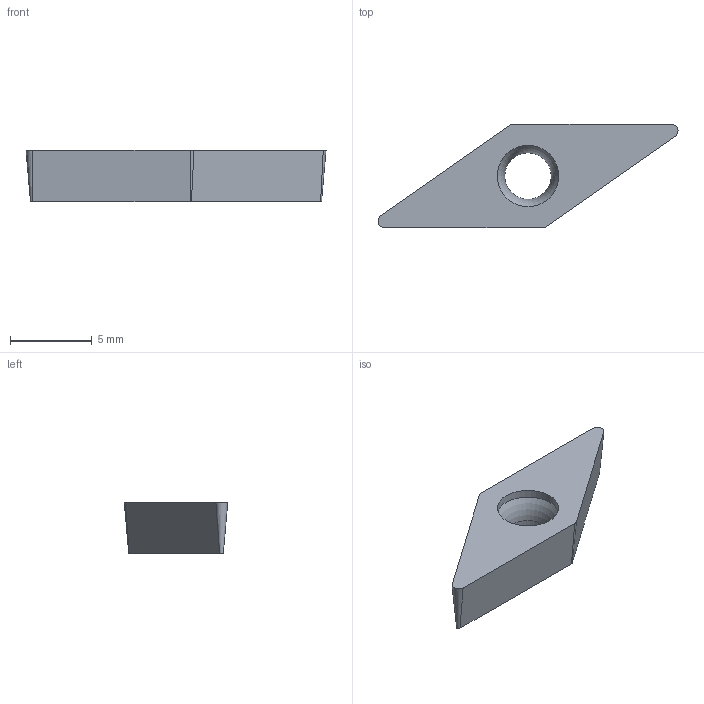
import cadquery as cq
import math

inscribed_diameter = 6.35
thickness = 3.18
acute_angle = math.radians(35)
nose_radius = 0.4
clearance_angle_deg = 5

bore_diameter = 2.85
mouth_diameter = 3.77
mouth_depth = 0.5
seat_radius = 2.5

inscribed_radius = inscribed_diameter / 2


def rhombus_corners():
    """Sharp corners of the top face, with two sides parallel to X."""
    side = inscribed_diameter / math.sin(acute_angle)
    slant_run = inscribed_radius / math.tan(acute_angle)
    acute_x = side / 2 + slant_run
    obtuse_x = side / 2 - slant_run
    return [
        (-acute_x, -inscribed_radius),
        (obtuse_x, -inscribed_radius),
        (acute_x, inscribed_radius),
        (-obtuse_x, inscribed_radius),
    ]


def rounded_rhombus(inset, z):
    """Closed outline with sides moved in by inset; the corner arcs keep their centres."""
    corners = rhombus_corners()
    centre_scale = (inscribed_radius - nose_radius) / inscribed_radius
    radius = nose_radius - inset
    count = len(corners)

    normals = []
    for index in range(count):
        x0, y0 = corners[index]
        x1, y1 = corners[(index + 1) % count]
        normals.append(math.atan2(y1 - y0, x1 - x0) - math.pi / 2)

    def arc_point(corner, angle):
        x = corner[0] * centre_scale + radius * math.cos(angle)
        y = corner[1] * centre_scale + radius * math.sin(angle)
        return cq.Vector(x, y, z)

    edges = []
    for index, corner in enumerate(corners):
        next_corner = corners[(index + 1) % count]
        turn = (normals[index] - normals[index - 1]) % (2 * math.pi)
        start = arc_point(corner, normals[index] - turn)
        middle = arc_point(corner, normals[index] - turn / 2)
        end = arc_point(corner, normals[index])
        edges.append(cq.Edge.makeThreePointArc(start, middle, end))
        edges.append(cq.Edge.makeLine(end, arc_point(next_corner, normals[index])))
    return cq.Wire.assembleEdges(edges)


def insert_blank():
    """Body with all sides leaning in by the clearance angle toward the bottom."""
    bottom_inset = thickness * math.tan(math.radians(clearance_angle_deg))
    bottom = rounded_rhombus(bottom_inset, 0)
    top = rounded_rhombus(0, thickness)
    return cq.Workplane(cq.Solid.makeLoft([bottom, top], True))


def screw_hole():
    """Revolved cutter whose convex seat arc runs tangent into the bore."""
    bore_radius = bore_diameter / 2
    mouth_radius = mouth_diameter / 2
    seat_angle = math.acos(1 - (mouth_radius - bore_radius) / seat_radius)
    seat_top = thickness - mouth_depth
    seat_bottom = seat_top - seat_radius * math.sin(seat_angle)
    seat_middle = (
        bore_radius + seat_radius * (1 - math.cos(seat_angle / 2)),
        seat_bottom + seat_radius * math.sin(seat_angle / 2),
    )
    return (
        cq.Workplane("XZ")
        .moveTo(0, 0)
        .lineTo(bore_radius, 0)
        .lineTo(bore_radius, seat_bottom)
        .threePointArc(seat_middle, (mouth_radius, seat_top))
        .lineTo(mouth_radius, thickness)
        .lineTo(0, thickness)
        .close()
        .revolve(360, (0, 0, 0), (0, 1, 0))
    )


result = insert_blank().cut(screw_hole())